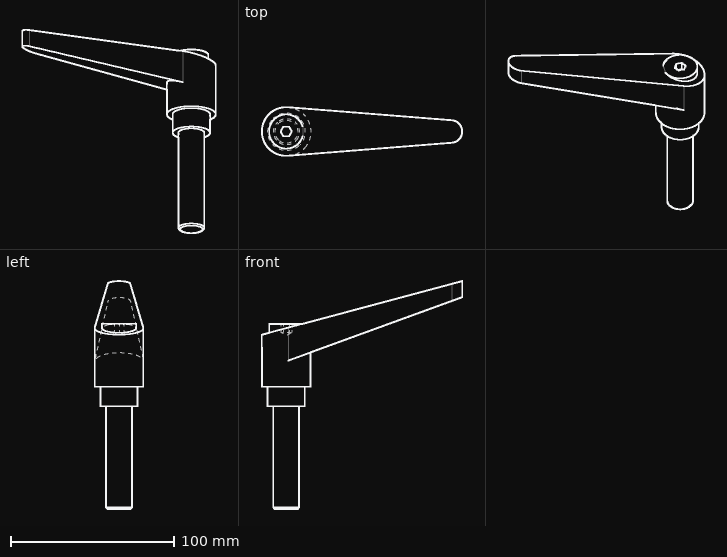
import cadquery as cq
import math

stud_diameter = 16.0
stud_length = 63.0
stud_chamfer = 1.0

collar_diameter = 23.0
collar_height = 12.0

hub_radius = 15.0
hub_low_edge_height = 31.94
hub_bottom = stud_length + collar_height

tip_radius = 7.0
tip_center_x = 101.0
tip_thickness = 10.0
top_angle = 15.0
underside_angle = 20.0
top_slope = math.tan(math.radians(top_angle))
underside_slope = math.tan(math.radians(underside_angle))

head_diameter = 21.0
head_height = 38.65
head_top = hub_bottom + head_height

socket_across_flats = 6.0
socket_depth = 5.0
socket_point_angle = 120.0

arm_start_x = -hub_radius
arm_end_x = tip_center_x + tip_radius


def top_z(x):
    """Height of the sloping top face at x."""
    return hub_bottom + hub_low_edge_height + top_slope * (x - arm_start_x)


def underside_z(x):
    """Height of the sloping underside of the arm at x."""
    return top_z(arm_end_x) - tip_thickness - underside_slope * (arm_end_x - x)


def cylinder(diameter, bottom, top):
    """Solid cylinder on the stud axis between two heights."""
    return cq.Workplane("XY").workplane(offset=bottom).circle(diameter / 2).extrude(top - bottom)


def side_prism(points):
    """XZ profile extruded symmetrically across the full lever width."""
    return cq.Workplane("XZ").polyline(points).close().extrude(hub_radius, both=True)


def make_stud():
    return cylinder(stud_diameter, 0, stud_length).faces("<Z").chamfer(stud_chamfer)


def make_hub():
    """Cylinder cut off by the sloping top face."""
    profile = [
        (-hub_radius, hub_bottom),
        (hub_radius, hub_bottom),
        (hub_radius, top_z(hub_radius)),
        (-hub_radius, top_z(-hub_radius)),
    ]
    return cylinder(2 * hub_radius, hub_bottom, top_z(hub_radius)).intersect(side_prism(profile))


def make_arm():
    """Tapering arm whose sides are tangent to the hub and to the rounded tip."""
    sine = (hub_radius - tip_radius) / tip_center_x
    cosine = math.sqrt(1 - sine**2)
    hub_x = hub_radius * sine
    hub_y = hub_radius * cosine
    tip_x = tip_center_x + tip_radius * sine
    tip_y = tip_radius * cosine
    plan = (
        cq.Workplane("XY")
        .moveTo(hub_x, -hub_y)
        .lineTo(tip_x, -tip_y)
        .threePointArc((arm_end_x, 0), (tip_x, tip_y))
        .lineTo(hub_x, hub_y)
        .threePointArc((-hub_radius, 0), (hub_x, -hub_y))
        .close()
        .extrude(top_z(arm_end_x))
    )
    profile = [
        (arm_start_x, underside_z(arm_start_x)),
        (arm_end_x, underside_z(arm_end_x)),
        (arm_end_x, top_z(arm_end_x)),
        (arm_start_x, top_z(arm_start_x)),
    ]
    return plan.intersect(side_prism(profile))


def make_socket():
    """Hexagonal key socket with a conical bottom, corners on the X axis."""
    corner_radius = socket_across_flats / math.sqrt(3)
    point_depth = corner_radius / math.tan(math.radians(socket_point_angle / 2))
    hexagon = (
        cq.Workplane("XY")
        .workplane(offset=head_top)
        .polygon(6, 2 * corner_radius)
        .extrude(-socket_depth - point_depth)
    )
    pointed_bore = (
        cq.Workplane("XZ")
        .moveTo(0, head_top)
        .lineTo(corner_radius, head_top)
        .lineTo(corner_radius, head_top - socket_depth)
        .lineTo(0, head_top - socket_depth - point_depth)
        .close()
        .revolve(360, (0, 0, 0), (0, 1, 0))
    )
    return hexagon.intersect(pointed_bore)


stud = make_stud()
collar = cylinder(collar_diameter, stud_length, hub_bottom)
screw_head = cylinder(head_diameter, hub_bottom, head_top)

lever = make_hub().union(make_arm())
result = stud.union(collar).union(lever).union(screw_head).cut(make_socket())